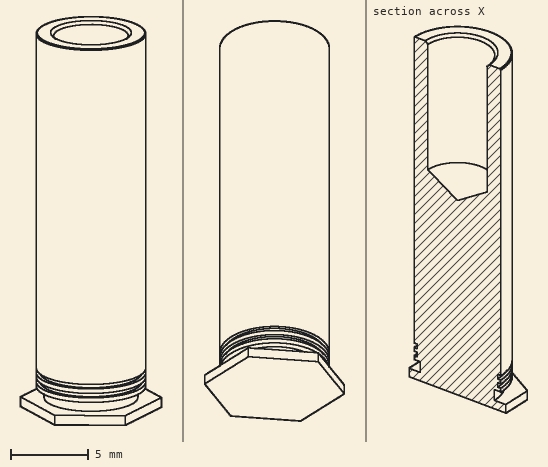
import cadquery as cq
import math

total_length = 25.4
head_across_corners = 9.15
head_thickness = 0.65

barrel_diameter = 7.1
barrel_edge_chamfer = 0.08
neck_diameter = 6.1
neck_height = 0.75
groove_diameter = 6.6
groove_width = 0.3
groove_count = 2
neck_top = head_thickness + neck_height

bore_diameter = 4.83
bore_mouth_diameter = 5.23
bore_depth = 9.5
drill_point_angle = 118.0


def make_body():
    """Hexagonal head, narrow neck and plain barrel stacked along Z."""
    head = cq.Workplane("XY").polygon(6, head_across_corners).extrude(head_thickness)
    neck = cq.Workplane("XY").circle(neck_diameter / 2).extrude(neck_top)
    barrel = (
        cq.Workplane("XY")
        .workplane(offset=neck_top)
        .circle(barrel_diameter / 2)
        .extrude(total_length - neck_top)
        .faces(">Z")
        .chamfer(barrel_edge_chamfer)
    )
    return head.union(neck).union(barrel)


def make_groove(bottom):
    """Ring to be removed from the barrel, starting at the given height."""
    return (
        cq.Workplane("XY")
        .workplane(offset=bottom)
        .circle(barrel_diameter / 2)
        .circle(groove_diameter / 2)
        .extrude(groove_width)
    )


def make_bore():
    """Bore with a 45 degree mouth chamfer and a conical bottom."""
    bore_radius = bore_diameter / 2
    mouth_radius = bore_mouth_diameter / 2
    mouth_chamfer = mouth_radius - bore_radius
    bore_bottom = total_length - bore_depth
    cone_depth = bore_radius / math.tan(math.radians(drill_point_angle / 2))
    return (
        cq.Workplane("XZ")
        .moveTo(0, total_length)
        .lineTo(mouth_radius, total_length)
        .lineTo(bore_radius, total_length - mouth_chamfer)
        .lineTo(bore_radius, bore_bottom)
        .lineTo(0, bore_bottom - cone_depth)
        .close()
        .revolve(360, (0, 0, 0), (0, 1, 0))
    )


result = make_body().cut(make_bore())

for index in range(groove_count):
    groove_bottom = neck_top + (2 * index + 1) * groove_width
    result = result.cut(make_groove(groove_bottom))